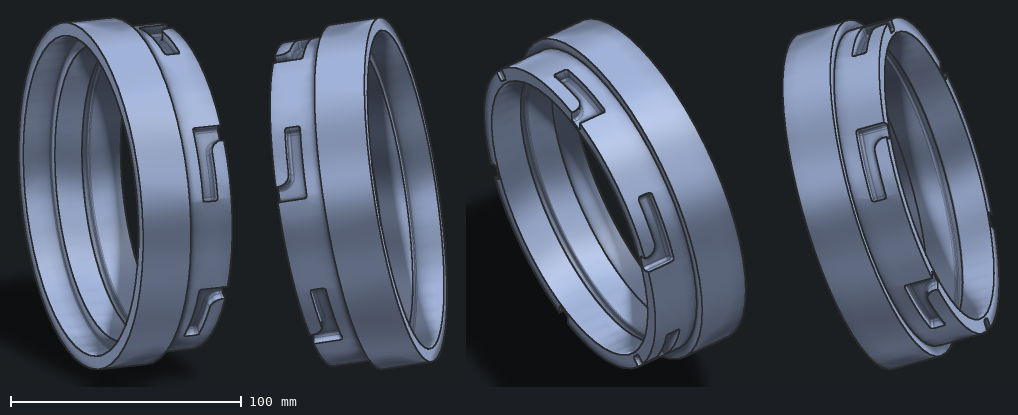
import cadquery as cq
import math

outer_radius = 75.5
spigot_radius = 71.0
bore_radius = 64.7
total_length = 43.2
collar_length = 22.2

seat_radius = 69.8
seat_depth = 12.7
seat_round = 0.5

groove_start = 25.4
groove_width = 3.0
groove_depth = 2.5
groove_round = 0.5

slot_count = 6
slot_width = 6.8
slot_floor_radius = 66.2
lip_length = 6.3
throat_left = -8.5
slot_end_angle = 19.7
throat_corner_radius = 5.0
slot_round = 1.4
cut_margin = 3.0

length_start = -total_length / 2
length_end = total_length / 2


def polar(radius, angle):
    """Point in the XZ plane at an angle measured from +Z towards +X."""
    return (radius * math.sin(angle), radius * math.cos(angle))


def arc_middle_inset(radius):
    """Distance, along each side of a square corner, to the middle of its rounding arc."""
    return radius * (1 - math.sqrt(0.5))


def ring_body():
    """Revolve the half section, drawn on the -X side of the Y axis."""
    seat_y = length_start + seat_depth
    step_y = length_start + collar_length
    arc_inset = arc_middle_inset(seat_round)
    section = (
        cq.Workplane("XY")
        .moveTo(-outer_radius, length_start)
        .lineTo(-outer_radius, step_y)
        .lineTo(-spigot_radius, step_y)
        .lineTo(-spigot_radius, length_end)
        .lineTo(-bore_radius, length_end)
        .lineTo(-bore_radius, seat_y)
        .lineTo(-(seat_radius - seat_round), seat_y)
        .threePointArc(
            (-(seat_radius - arc_inset), seat_y - arc_inset),
            (-seat_radius, seat_y - seat_round),
        )
        .lineTo(-seat_radius, length_start)
        .close()
    )
    return section.revolve(360, (0, 0, 0), (0, 1, 0))


def seal_groove():
    """Ring-shaped cutter for the groove in the bore."""
    return (
        cq.Workplane("XZ", origin=(0, length_start + groove_start, 0))
        .circle(bore_radius + groove_depth)
        .circle(bore_radius - cut_margin)
        .extrude(-groove_width)
        .edges("%CIRCLE")
        .edges(cq.selectors.RadiusNthSelector(-1))
        .fillet(groove_round)
    )


def groove_rim_box():
    """Opposite corners of a box that holds both rims of the groove but not its floor."""
    half_side = bore_radius + groove_depth / 2
    rim_y = length_start + groove_start
    return (
        (-half_side, rim_y - groove_round, -half_side),
        (half_side, rim_y + groove_width + groove_round, half_side),
    )


def bayonet_slot():
    """Cutter for the slot at the +Z side: an axial throat turning into a circumferential run."""
    lip_y = length_end - lip_length
    floor_y = lip_y - slot_width
    open_y = length_end + cut_margin
    throat_right = throat_left + slot_width
    far_x = spigot_radius
    corner_offset = arc_middle_inset(throat_corner_radius)

    outline = (
        cq.Workplane("XY")
        .moveTo(throat_left, open_y)
        .lineTo(throat_left, floor_y)
        .lineTo(far_x, floor_y)
        .lineTo(far_x, lip_y)
        .lineTo(throat_right + throat_corner_radius, lip_y)
        .threePointArc(
            (throat_right + corner_offset, lip_y + corner_offset),
            (throat_right, lip_y + throat_corner_radius),
        )
        .lineTo(throat_right, open_y)
        .close()
        .extrude(spigot_radius + 2 * cut_margin)
    )

    cut_radius = spigot_radius + cut_margin
    end_angle = math.radians(slot_end_angle)
    floor_angle = math.asin(throat_left / slot_floor_radius)
    top_angle = math.asin(throat_left / cut_radius)
    sector = (
        cq.Workplane("XZ", origin=(0, open_y, 0))
        .moveTo(*polar(slot_floor_radius, floor_angle))
        .threePointArc(polar(slot_floor_radius, 0), polar(slot_floor_radius, end_angle))
        .lineTo(*polar(cut_radius, end_angle))
        .threePointArc(polar(cut_radius, 0), polar(cut_radius, top_angle))
        .close()
        .extrude(open_y - floor_y)
    )

    cutter = outline.intersect(sector)
    cutter = cutter.faces(">X").edges("#Y").fillet(slot_round)
    cutter = cutter.faces("<X").edges("<Y").fillet(slot_round)
    return cutter.faces("<Z").edges("not(>Y)").fillet(slot_round)


result = ring_body().cut(seal_groove())
groove_rims = cq.selectors.BoxSelector(*groove_rim_box(), boundingbox=True)
result = result.edges(groove_rims).fillet(groove_round)

slot = bayonet_slot()
for index in range(slot_count):
    angle = index * 360 / slot_count
    result = result.cut(slot.rotate((0, 0, 0), (0, 1, 0), angle))